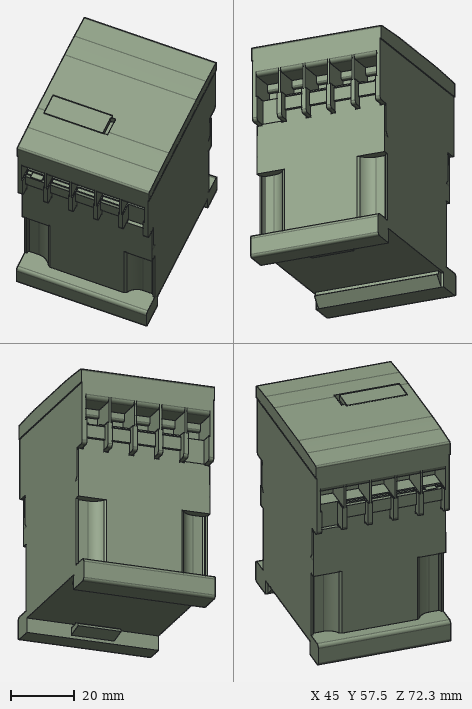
import cadquery as cq
import math

height = 72.3
lid_half_x = 22.5
body_half_x = 22.2
foot_length = 57.5
foot_half_y = foot_length / 2
cap_half_y = 27.4
body_half_y = 24.1

foot_top = 7.5
rail_top = 4.85
cap_bottom = 46.6
lid_bottom = 67.2

crown_flat_y = 11.05
crown_arc_y = 19.0
crown_angle = math.radians(3.0)
lid_edge_radius = 0.6
wall_edge_radius = 1.3
rib_edge_radius = 1.1
foot_top_radius = 1.15
foot_bottom_radius = 0.95

pocket_pitch = 8.5
pocket_centres = [pocket_pitch * i for i in range(-2, 3)]
pocket_upper_width = 7.8
pocket_lower_width = 7.0
pocket_ceiling = 61.9
pocket_floor = 54.9
pocket_back_y = 17.35
lintel_y = 18.8
lintel_bottom = 59.35
lintel_radius = 0.6
seat_y = 22.85
rib_gap_bottom = 46.05
open_seat_bottom = 46.4

block_front_y = 25.0
block_bottom = 49.8
block_front_top = 54.0
block_crest_y = 24.4
block_groove_floor = 54.45
notch_width = 3.8
notch_bottom = 54.3

recess_top = 29.9
corner_y = 21.9
corner_lip_x = 21.55
recess_step_x = 21.3
recess_step_y = 21.25
recess_floor_x = 20.9
recess_floor_y = 21.0
recess_arc_x = 17.7
recess_arc_end_x = 13.45
recess_arc_end_y = 23.6
recess_edge_x = 12.65

relief_bottom = 35.8
relief_bevel_top = 37.2
relief_inner_y = 21.7
relief_depth = 0.1

rail_front_y = -19.7
rail_back_y = 21.05
hook_half_x = 21.3
hook_tip_y = -16.55
hook_tip_z = 3.25
hook_neck_y = -17.6
hook_neck_z = 3.75
tongue_half_x = 7.2
tongue_tip_y = 15.0
tongue_tip_bottom = 2.2
tongue_tip_top = 2.9
tongue_barb_y = 17.1
tongue_barb_z = 3.9
tongue_shank_y = 18.4
tongue_shank_top = 3.55
tongue_root_bottom = 1.1

window_left = -19.8
window_right = 0.6
window_front = -12.1
window_back = -4.6
window_depth = 0.3
slit_left = 0.2
slit_right = 1.95
slit_back = -5.6
slit_depth = 2.2


def box(x0, x1, y0, y1, z0, z1):
    """Axis-aligned box given by its limits."""
    return cq.Workplane("XY").box(x1 - x0, y1 - y0, z1 - z0, centered=False).translate((x0, y0, z0))


def slab(outline, x0, x1):
    """Prism along X over a closed (y, z) outline."""
    return cq.Workplane("YZ").polyline(outline).close().extrude(x1 - x0).translate((x0, 0, 0))


def both_ends(shape):
    """The shape together with its mirror image at the opposite Y end."""
    return shape.union(shape.mirror("XZ"))


def make_lid():
    arc_run = crown_arc_y - crown_flat_y
    arc_drop = arc_run * math.tan(crown_angle / 2)
    arc_radius = arc_run / math.sin(crown_angle)
    mid_y = crown_flat_y + arc_radius * math.sin(crown_angle / 2)
    mid_z = height - arc_radius * (1 - math.cos(crown_angle / 2))
    arc_z = height - arc_drop
    edge_z = arc_z - (cap_half_y - crown_arc_y) * math.tan(crown_angle)
    lid = (
        cq.Workplane("YZ")
        .moveTo(-cap_half_y, lid_bottom)
        .lineTo(cap_half_y, lid_bottom)
        .lineTo(cap_half_y, edge_z)
        .lineTo(crown_arc_y, arc_z)
        .threePointArc((mid_y, mid_z), (crown_flat_y, height))
        .lineTo(-crown_flat_y, height)
        .threePointArc((-mid_y, mid_z), (-crown_arc_y, arc_z))
        .lineTo(-cap_half_y, edge_z)
        .close()
        .extrude(lid_half_x, both=True)
    )
    for end_face in ("<Y", ">Y"):
        lid = lid.faces(end_face).edges(">Z").fillet(lid_edge_radius)
    window = box(window_left, window_right, window_front, window_back, height - window_depth, height)
    slit = box(slit_left, slit_right, window_front, slit_back, height - slit_depth, height)
    return lid.cut(window).cut(slit)


def make_foot():
    foot = box(-body_half_x, body_half_x, -foot_half_y, foot_half_y, 0, foot_top)
    for end_face in ("<Y", ">Y"):
        foot = foot.faces(end_face).edges(">Z").fillet(foot_top_radius)
        foot = foot.faces(end_face).edges("<Z").fillet(foot_bottom_radius)
    return foot


def make_cap_end():
    """Front overhang of the cap: a wall over the pockets and the ribs between them."""
    wall = box(-body_half_x, body_half_x, -cap_half_y, -seat_y, pocket_ceiling, lid_bottom)
    wall = wall.edges("|X and <Y and <Z").fillet(wall_edge_radius)
    ribs = box(-body_half_x, body_half_x, -cap_half_y, -seat_y, cap_bottom, lid_bottom)
    ribs = ribs.edges("|X and <Y and <Z").fillet(rib_edge_radius)
    for x in pocket_centres:
        upper, lower = pocket_upper_width / 2, pocket_lower_width / 2
        ribs = ribs.cut(box(x - upper, x + upper, -cap_half_y, -seat_y, pocket_floor, lid_bottom))
        ribs = ribs.cut(box(x - lower, x + lower, -cap_half_y, -seat_y, cap_bottom, pocket_floor))
    return wall.union(ribs)


def make_pocket(x):
    """Space behind one opening, reaching under a rounded lintel."""
    half = pocket_upper_width / 2
    space = box(x - half, x + half, -body_half_y, -pocket_back_y, pocket_floor, pocket_ceiling)
    lintel = box(x - half, x + half, -lintel_y, -pocket_back_y, lintel_bottom, pocket_ceiling)
    lintel = lintel.edges("|X and <Y and <Z").fillet(lintel_radius)
    return space.cut(lintel)


def make_seat(x, bottom):
    """Recess in the body face below a pocket floor."""
    half = pocket_lower_width / 2
    return box(x - half, x + half, -body_half_y, -seat_y, bottom, pocket_floor)


def make_block(x):
    """Terminal block with a bevelled front ridge and a groove behind it."""
    half = pocket_lower_width / 2
    outline = [
        (-seat_y, block_bottom),
        (-block_front_y, block_bottom),
        (-block_front_y, block_front_top),
        (-block_crest_y, pocket_floor),
        (-block_crest_y, block_groove_floor),
        (-seat_y, block_groove_floor),
    ]
    return slab(outline, x - half, x + half)


def make_rib_gaps():
    """Clearance in the body face just below the lower end of every rib."""
    gaps = box(-body_half_x, body_half_x, -body_half_y, -seat_y, rib_gap_bottom, cap_bottom)
    for x in pocket_centres:
        half = pocket_lower_width / 2
        gaps = gaps.cut(box(x - half, x + half, -body_half_y, -seat_y, rib_gap_bottom, cap_bottom))
    return gaps


def make_corner_recess():
    """Vertical recess at the +X, -Y corner with a concave inner side."""
    run = recess_arc_x - recess_arc_end_x
    rise = recess_arc_end_y - recess_floor_y
    radius = (run**2 + rise**2) / (2 * rise)
    half_angle = math.asin(run / radius) / 2
    arc_mid = (
        recess_arc_x - radius * math.sin(half_angle),
        -recess_floor_y - radius * (1 - math.cos(half_angle)),
    )
    return (
        cq.Workplane("XY", origin=(0, 0, foot_top))
        .moveTo(body_half_x, -body_half_y)
        .lineTo(body_half_x, -corner_y)
        .lineTo(corner_lip_x, -corner_y)
        .lineTo(recess_step_x, -recess_step_y)
        .lineTo(recess_floor_x, -recess_floor_y)
        .lineTo(recess_arc_x, -recess_floor_y)
        .threePointArc(arc_mid, (recess_arc_end_x, -recess_arc_end_y))
        .lineTo(recess_edge_x, -body_half_y)
        .close()
        .extrude(recess_top - foot_top)
    )


def make_flank_relief():
    """Wedge that thins the +X, -Y body edge gradually towards the cap."""
    wedge = (
        cq.Workplane("XZ", origin=(0, -relief_inner_y, 0))
        .moveTo(body_half_x, relief_bottom)
        .lineTo(body_half_x, cap_bottom)
        .lineTo(body_half_x - relief_depth, cap_bottom)
        .close()
        .extrude(body_half_y - relief_inner_y)
    )
    side_outline = [
        (-body_half_y, relief_bottom),
        (-relief_inner_y, relief_bottom),
        (-seat_y, relief_bevel_top),
        (-seat_y, cap_bottom),
        (-body_half_y, cap_bottom),
    ]
    return wedge.intersect(slab(side_outline, body_half_x - relief_depth, body_half_x))


def make_hook():
    outline = [
        (rail_front_y, 0),
        (hook_tip_y, hook_tip_z),
        (hook_neck_y, hook_neck_z),
        (hook_neck_y, rail_top),
        (rail_front_y, rail_top),
    ]
    return slab(outline, -hook_half_x, hook_half_x)


def make_tongue():
    outline = [
        (rail_back_y, tongue_root_bottom),
        (tongue_tip_y, tongue_tip_bottom),
        (tongue_tip_y, tongue_tip_top),
        (tongue_barb_y, tongue_barb_z),
        (tongue_shank_y, tongue_shank_top),
        (rail_back_y, tongue_shank_top),
    ]
    return slab(outline, -tongue_half_x, tongue_half_x)


result = box(-body_half_x, body_half_x, -body_half_y, body_half_y, 0, lid_bottom)

open_seat_x = pocket_centres[-1]
for centre in pocket_centres:
    seat_bottom = open_seat_bottom if centre == open_seat_x else block_bottom
    result = result.cut(both_ends(make_pocket(centre)))
    result = result.cut(both_ends(make_seat(centre, seat_bottom)))
result = result.cut(both_ends(make_rib_gaps()))

for corner_cut in (make_corner_recess(), make_flank_relief()):
    result = result.cut(both_ends(corner_cut.union(corner_cut.mirror("YZ"))))

result = result.union(both_ends(make_cap_end()))
result = result.union(make_lid())
for centre in pocket_centres[:-1]:
    result = result.union(both_ends(make_block(centre)))
notch_x = pocket_centres[0]
notch_left = notch_x - notch_width / 2
notch_right = notch_x + notch_width / 2
notch = box(notch_left, notch_right, -block_front_y, -seat_y, notch_bottom, pocket_floor)
result = result.cut(both_ends(notch))
result = result.union(make_foot())

result = result.cut(box(-body_half_x, body_half_x, rail_front_y, rail_back_y, 0, rail_top))
result = result.union(make_hook()).union(make_tongue())